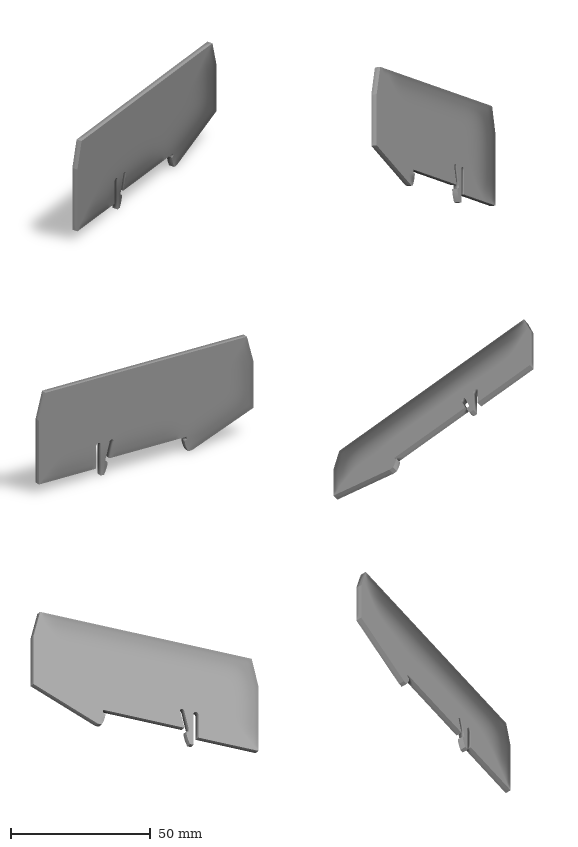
import cadquery as cq
import math

thickness = 2.2
length = 90.9
height = 39.0
end_y = length / 2

top_corner_run = 2.7
top_corner_drop = 10.4
ramp_top_z = 10.0
base_z = 3.3

recess_half = 17.3
recess_z = 5.9
neck_z = 4.9
hook_reach = 1.0
hook_tip_z = 4.5
toe_inset = 0.5
toe_width = 1.6
hook_bulge = 0.3

slot_top_z = 13.2
straight_slot_width = 1.9
spring_foot_outer_y = -19.3
tilted_slot_width = 1.6
slot_tilt = 15.0
tilted_slot_corner_y = -15.5

hook_tip_y = recess_half - hook_reach
toe_y = recess_half + toe_inset
hook_mid = ((hook_tip_y + toe_y) / 2 - hook_bulge, hook_tip_z / 2)


def mirrored(point):
    """Reflect a (Y, Z) point to the other foot."""
    return (-point[0], point[1])


def make_plate():
    """Outline with the fixed foot, rail recess, spring foot and straight slot."""
    slot_radius = straight_slot_width / 2
    slot_outer_y = spring_foot_outer_y - straight_slot_width
    slot_shoulder_z = slot_top_z - slot_radius
    return (
        cq.Workplane("YZ")
        .moveTo(end_y - top_corner_run, height)
        .lineTo(end_y, height - top_corner_drop)
        .lineTo(end_y, ramp_top_z)
        .lineTo(toe_y + toe_width, 0)
        .lineTo(toe_y, 0)
        .threePointArc(hook_mid, (hook_tip_y, hook_tip_z))
        .lineTo(recess_half, neck_z)
        .lineTo(recess_half, recess_z)
        .lineTo(-recess_half, recess_z)
        .lineTo(-recess_half, neck_z)
        .lineTo(-hook_tip_y, hook_tip_z)
        .threePointArc(mirrored(hook_mid), (-toe_y, 0))
        .lineTo(spring_foot_outer_y, 0)
        .lineTo(spring_foot_outer_y, slot_shoulder_z)
        .threePointArc(
            (spring_foot_outer_y - slot_radius, slot_top_z),
            (slot_outer_y, slot_shoulder_z),
        )
        .lineTo(slot_outer_y, base_z)
        .lineTo(-end_y, base_z)
        .lineTo(-end_y, height - top_corner_drop)
        .lineTo(-end_y + top_corner_run, height)
        .close()
        .extrude(thickness / 2, both=True)
    )


def make_tilted_slot():
    """Round-ended slot that leans toward +Y as it rises from the recess."""
    tilt = math.radians(slot_tilt)
    radius = tilted_slot_width / 2
    mouth_y = tilted_slot_corner_y - radius / math.cos(tilt)
    end_z = slot_top_z - radius
    rise = end_z - recess_z
    end_y_centre = mouth_y + rise * math.tan(tilt)
    reach = rise / math.cos(tilt)
    slot = (
        cq.Workplane("YZ")
        .moveTo(-radius, 0)
        .threePointArc((0, radius), (radius, 0))
        .lineTo(radius, -reach + radius * math.tan(tilt))
        .lineTo(-radius, -reach - radius * math.tan(tilt))
        .close()
        .extrude(thickness, both=True)
    )
    return slot.rotate((0, 0, 0), (1, 0, 0), -slot_tilt).translate((0, end_y_centre, end_z))


result = make_plate().cut(make_tilted_slot())